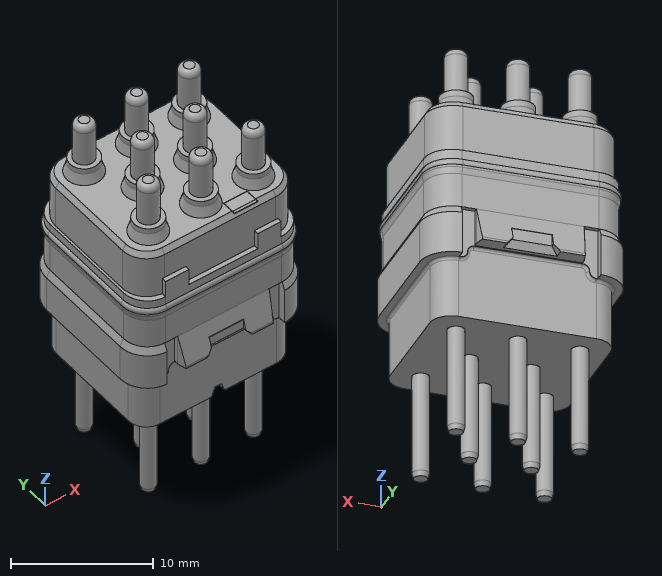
import cadquery as cq
import math

TAIL_CHAMFER_Z = 0.4
BODY_BOTTOM = 8.07
FLANGE_BOTTOM = 12.7
ARCH_TOP = 13.7
FLANGE_CHAMFER_Z = 15.85
FLANGE_TOP = 16.45
SHOULDER_Z = 20.95
TAB_TOP = 22.42
BODY_CHAMFER_Z = 24.65
BODY_TOP = 25.1
COLLAR_CONE_TOP = 25.98
COLLAR_TOP = 26.45
PIN_TOP = 30.1

LOWER_X, LOWER_Y, LOWER_RADIUS = 6.7, 5.8, 1.6
HOUSING_X, HOUSING_Y, HOUSING_RADIUS = 7.2, 6.4, 2.1
FLANGE_X, FLANGE_Y, FLANGE_RADIUS = 7.5, 6.7, 2.4
UPPER_X, UPPER_Y, UPPER_RADIUS = 6.98, 6.02, 2.1
UPPER_CHAMFER = 0.3

CORNER_START_X = 5.15
PANEL_Y = 6.05
ARCH_HALF_WIDTH = 5.03
ARCH_RADIUS = (ARCH_TOP - FLANGE_BOTTOM) / 2
ROOT_FILLET = 0.2
SELECT_MARGIN = 0.03

BEAD_TOP = 20.23
CORD_CREST_Z = 19.93
CORD_BOTTOM = 19.72
LEDGE_Z = 19.53
BEAD_BOTTOM = 19.05
BEAD_HEIGHT = 0.18
LEDGE_HEIGHT = 0.12

OVERLAP = 0.15

TAB_INNER_X = 3
TAB_OUTER_X = 5.05

OVERALL_Y = 14.3
LATCH_REACH = OVERALL_Y / 2
LATCH_BOTTOM = 13.75
LATCH_LIP = 0.18
LATCH_ROOT_HALF = 4.0
LATCH_TIP_HALF = 3.82
NOTCH_HALF = 1.5
NOTCH_MOUTH_HALF = 2.0
NOTCH_TOP = 15.2
NOTCH_FLARE_Z = 14.33
NOTCH_WALL_Y = 6.75

KEY_HALF_BOTTOM = 0.57
KEY_HALF_TOP = 0.27
KEY_HEIGHT = 0.78
KEY_DEPTH = 0.9

PLATE_X, PLATE_WIDTH = 2.3, 2.05
PLATE_INNER_Y = -4.75
PLATE_THICKNESS = 0.05

PIN_RADIUS = 0.85
PIN_TIP_RADIUS = 0.42
PIN_ROUND = 0.57
COLLAR_RADIUS = 1.23
COLLAR_BASE_RADIUS = 1.5
TAIL_RADIUS = 0.63
TAIL_TIP_RADIUS = 0.5
PIN_PITCH = 4.6
ROW_PITCH = 3.75


def block(half_x, half_y, radius, bottom, top, inset=0):
    """Upright rounded rectangle that narrows by inset on each side toward its top."""
    height = top - bottom
    outline = cq.Sketch().rect(2 * half_x, 2 * half_y).vertices().fillet(radius)
    taper = math.degrees(math.atan(inset / height))
    return cq.Workplane("XY", origin=(0, 0, bottom)).placeSketch(outline).extrude(height, taper=taper)


def box(x_min, x_max, y_min, y_max, z_min, z_max):
    size = (x_max - x_min, y_max - y_min, z_max - z_min)
    return cq.Workplane("XY", origin=(x_min, y_min, z_min)).box(*size, centered=False)


def flange():
    """Collar around the foot of the housing with a sloped upper edge."""
    band = block(FLANGE_X, FLANGE_Y, FLANGE_RADIUS, FLANGE_BOTTOM, FLANGE_CHAMFER_Z)
    slope = block(
        FLANGE_X, FLANGE_Y, FLANGE_RADIUS, FLANGE_CHAMFER_Z, FLANGE_TOP, FLANGE_X - HOUSING_X
    )
    return band.union(slope)


def arch():
    """Opening with S-shaped ends that cuts the housing skirt through along Y."""
    side_x = ARCH_HALF_WIDTH - ARCH_RADIUS
    top_x = side_x - ARCH_RADIUS
    mid_z = FLANGE_BOTTOM + ARCH_RADIUS
    return (
        cq.Workplane("XZ")
        .moveTo(-ARCH_HALF_WIDTH, FLANGE_BOTTOM)
        .radiusArc((-side_x, mid_z), -ARCH_RADIUS)
        .radiusArc((-top_x, ARCH_TOP), ARCH_RADIUS)
        .lineTo(top_x, ARCH_TOP)
        .radiusArc((side_x, mid_z), ARCH_RADIUS)
        .radiusArc((ARCH_HALF_WIDTH, FLANGE_BOTTOM), -ARCH_RADIUS)
        .close()
        .extrude(FLANGE_Y + OVERLAP, both=True)
    )


def body():
    """Stacked sections, with the Y sides of the collar recessed between its corners and arched."""
    housing = block(HOUSING_X, HOUSING_Y, HOUSING_RADIUS, FLANGE_BOTTOM, SHOULDER_Z)
    lower = block(LOWER_X, LOWER_Y, LOWER_RADIUS, BODY_BOTTOM, FLANGE_TOP)
    recess = box(
        -CORNER_START_X, CORNER_START_X, PANEL_Y, FLANGE_Y + OVERLAP, FLANGE_BOTTOM, FLANGE_TOP
    )
    skirt = housing.union(flange()).cut(recess).cut(recess.mirror("XZ"))
    skirted = skirt.cut(arch()).union(lower)
    root_zone = cq.selectors.BoxSelector(
        (-LOWER_X - SELECT_MARGIN, -LOWER_Y - SELECT_MARGIN, FLANGE_BOTTOM - SELECT_MARGIN),
        (LOWER_X + SELECT_MARGIN, LOWER_Y + SELECT_MARGIN, ARCH_TOP + SELECT_MARGIN),
        boundingbox=True,
    )
    skirted = skirted.edges(root_zone).fillet(ROOT_FILLET)
    upper = block(UPPER_X, UPPER_Y, UPPER_RADIUS, SHOULDER_Z, BODY_CHAMFER_Z)
    cap = block(UPPER_X, UPPER_Y, UPPER_RADIUS, BODY_CHAMFER_Z, BODY_TOP, UPPER_CHAMFER)
    return skirted.union(upper).union(cap)


def bead():
    """Sealing bead swept around the housing: a round cord resting on a tapered ledge."""
    outline = cq.Workplane("XY").rect(2 * HOUSING_X, 2 * HOUSING_Y).extrude(0.3).edges("|Z")
    path = outline.fillet(HOUSING_RADIUS).faces("<Z").wires()
    section = (
        cq.Workplane("XZ", origin=(HOUSING_X, 0, 0))
        .moveTo(-OVERLAP, BEAD_TOP)
        .lineTo(0, BEAD_TOP)
        .threePointArc((BEAD_HEIGHT, CORD_CREST_Z), (LEDGE_HEIGHT, CORD_BOTTOM))
        .lineTo(LEDGE_HEIGHT, LEDGE_Z)
        .lineTo(0, BEAD_BOTTOM)
        .lineTo(-OVERLAP, BEAD_BOTTOM)
        .close()
    )
    return section.sweep(path)


def tabs():
    """Pair of tabs rising from the shoulder on the -Y side."""
    right = box(TAB_INNER_X, TAB_OUTER_X, -HOUSING_Y, OVERLAP - UPPER_Y, SHOULDER_Z, TAB_TOP)
    return right.union(right.mirror("YZ"))


def latch():
    """Wedge on the -Y side, with drafted ends and a notch in the middle of its lower edge."""
    root_y = PANEL_Y - OVERLAP
    wedge = (
        cq.Workplane("YZ")
        .polyline([
            (-root_y, FLANGE_TOP),
            (-HOUSING_Y, FLANGE_TOP),
            (-LATCH_REACH, LATCH_BOTTOM + LATCH_LIP),
            (-LATCH_REACH, LATCH_BOTTOM),
            (-root_y, LATCH_BOTTOM),
        ])
        .close()
        .extrude(LATCH_ROOT_HALF, both=True)
    )
    drafted_plan = (
        cq.Workplane("XY", origin=(0, 0, LATCH_BOTTOM))
        .polyline([
            (-LATCH_ROOT_HALF, -root_y),
            (-LATCH_ROOT_HALF, -HOUSING_Y),
            (-LATCH_TIP_HALF, -LATCH_REACH),
            (LATCH_TIP_HALF, -LATCH_REACH),
            (LATCH_ROOT_HALF, -HOUSING_Y),
            (LATCH_ROOT_HALF, -root_y),
        ])
        .close()
        .extrude(FLANGE_TOP - LATCH_BOTTOM)
    )
    notch_face = (
        cq.Workplane("XZ", origin=(0, -root_y, 0))
        .polyline([
            (-NOTCH_HALF, NOTCH_TOP),
            (-NOTCH_HALF, NOTCH_FLARE_Z),
            (-NOTCH_MOUTH_HALF, LATCH_BOTTOM),
            (NOTCH_MOUTH_HALF, LATCH_BOTTOM),
            (NOTCH_HALF, NOTCH_FLARE_Z),
            (NOTCH_HALF, NOTCH_TOP),
        ])
        .close()
        .extrude(LATCH_REACH)
    )
    notch_depth = (
        cq.Workplane("YZ")
        .polyline([
            (-LATCH_REACH, NOTCH_TOP),
            (-NOTCH_WALL_Y, NOTCH_TOP),
            (-NOTCH_WALL_Y, NOTCH_FLARE_Z),
            (-HOUSING_Y, LATCH_BOTTOM),
            (-LATCH_REACH, LATCH_BOTTOM),
        ])
        .close()
        .extrude(NOTCH_MOUTH_HALF, both=True)
    )
    return wedge.intersect(drafted_plan).cut(notch_face.intersect(notch_depth))


def key_notch():
    """Trapezoidal notch in the lower edge of the -Y side."""
    top_z = BODY_BOTTOM + KEY_HEIGHT
    return (
        cq.Workplane("XZ", origin=(0, KEY_DEPTH - LOWER_Y, 0))
        .polyline([
            (-KEY_HALF_BOTTOM, BODY_BOTTOM),
            (-KEY_HALF_TOP, top_z),
            (KEY_HALF_TOP, top_z),
            (KEY_HALF_BOTTOM, BODY_BOTTOM),
        ])
        .close()
        .extrude(KEY_DEPTH)
    )


def marking_plate():
    """Thin plate standing slightly proud of the top face that runs out over the chamfer on the -Y side."""
    half = PLATE_WIDTH / 2
    rise = PLATE_THICKNESS / 2
    return box(
        PLATE_X - half, PLATE_X + half, -UPPER_Y, PLATE_INNER_Y, BODY_TOP - rise, BODY_TOP + rise
    )


def pin(x, y):
    """Full-length contact pin: chamfered tail, conical collar and rounded upper tip."""
    round_x = PIN_TIP_RADIUS + (PIN_RADIUS - PIN_TIP_RADIUS) * math.sin(math.pi / 4)
    round_z = PIN_TOP - PIN_ROUND + PIN_ROUND * math.sin(math.pi / 4)
    return (
        cq.Workplane("XZ")
        .moveTo(0, 0)
        .lineTo(TAIL_TIP_RADIUS, 0)
        .lineTo(TAIL_RADIUS, TAIL_CHAMFER_Z)
        .lineTo(TAIL_RADIUS, BODY_TOP)
        .lineTo(COLLAR_BASE_RADIUS, BODY_TOP)
        .lineTo(COLLAR_RADIUS, COLLAR_CONE_TOP)
        .lineTo(COLLAR_RADIUS, COLLAR_TOP)
        .lineTo(PIN_RADIUS, COLLAR_TOP)
        .lineTo(PIN_RADIUS, PIN_TOP - PIN_ROUND)
        .threePointArc((round_x, round_z), (PIN_TIP_RADIUS, PIN_TOP))
        .lineTo(0, PIN_TOP)
        .close()
        .revolve(360, (0, 0), (0, 1))
        .translate((x, y, 0))
    )


outer_row = [-PIN_PITCH, 0, PIN_PITCH]
middle_row = [-PIN_PITCH / 2, PIN_PITCH / 2]
pin_places = [(x, side * ROW_PITCH) for side in (-1, 1) for x in outer_row]
pin_places += [(x, 0) for x in middle_row]

result = body().union(bead()).union(tabs())
result = result.union(latch()).union(latch().mirror("XZ"))
result = result.union(marking_plate()).cut(key_notch())
for x, y in pin_places:
    result = result.union(pin(x, y))